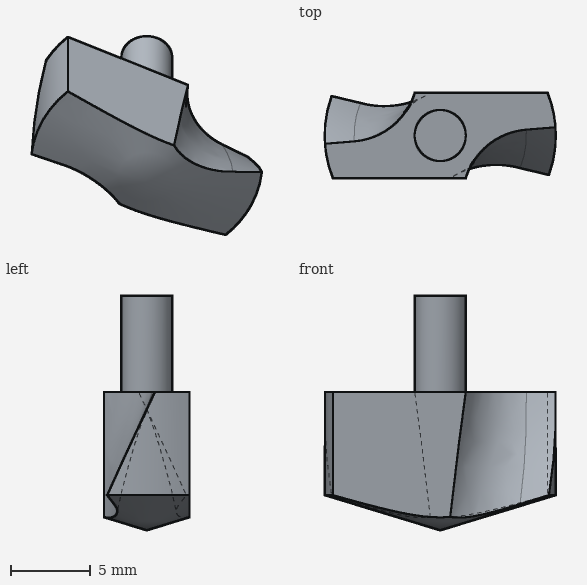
import cadquery as cq
import math

total_height = 14.7
head_diameter = 14.48
head_thickness = 5.37
head_top = 8.67
rim_height = 2.2
shank_diameter = 3.2

gullet_radius = 4.32
gullet_x = 5.73
gullet_y = -3.94
face_tilt = 4.6
flute_twist = 32.3
flute_reach = 8.82

head_radius = head_diameter / 2


def make_head():
    """Cylinder with a conical point, trimmed to two parallel flats."""
    turned = (
        cq.Workplane("XZ")
        .polyline([(0, 0), (head_radius, rim_height), (head_radius, head_top), (0, head_top)])
        .close()
        .revolve(360, (0, 0), (0, 1))
    )
    slab = cq.Workplane("XY").box(
        head_diameter, head_thickness, head_top, centered=(True, True, False)
    )
    return turned.intersect(slab)


def gullet_point(angle):
    """Point on the gullet circle at an angle in degrees."""
    turn = math.radians(angle)
    x = gullet_x + gullet_radius * math.cos(turn)
    y = gullet_y + gullet_radius * math.sin(turn)
    return x, y


def make_flute():
    """Helical cutter that removes one flute."""
    face_angle = 90 + face_tilt
    tangent = gullet_point(face_angle)
    face_end_y = tangent[1] + (flute_reach - tangent[0]) * math.tan(math.radians(face_tilt))
    gullet_end = gullet_point(180)
    return (
        cq.Workplane("XY")
        .transformed(rotate=(0, 0, -flute_twist))
        .moveTo(flute_reach, face_end_y)
        .lineTo(*tangent)
        .threePointArc(gullet_point((face_angle + 180) / 2), gullet_end)
        .lineTo(gullet_end[0], -flute_reach)
        .lineTo(flute_reach, -flute_reach)
        .close()
        .twistExtrude(head_top, flute_twist)
    )


result = make_head()

flute = make_flute()
for turn in (0, 180):
    result = result.cut(flute.rotate((0, 0, 0), (0, 0, 1), turn))

shank = (
    cq.Workplane("XY")
    .workplane(offset=head_top)
    .circle(shank_diameter / 2)
    .extrude(total_height - head_top)
)
result = result.union(shank)